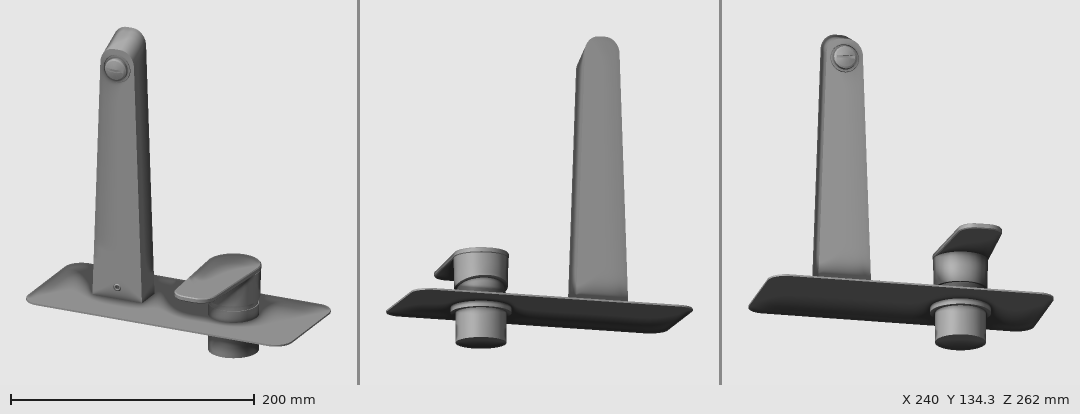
import cadquery as cq
import math


plate_length = 240.0
plate_width = 100.0
plate_thickness = 1.5
plate_corner_radius = 15.0

badge_length = 21.7
badge_width = 3.7
badge_y = -38.0
badge_thickness = plate_thickness / 2

spout_x = -50.0
spout_base_width = 45.0
spout_top_width = 28.8
spout_depth = 23.8
spout_height = 230.8
spout_top_slope = 25
spout_top_radius = 12.3
spout_front_y = -spout_depth / 2

screw_z = 10.0
screw_diameter = 6.8
screw_length = 7.9
screw_head_diameter = 5.0
socket_mouth_diameter = 4.2
socket_diameter = 3.5
socket_depth = 2.5

outlet_z = 202.7
ring_diameter = 27.8
ring_mouth_diameter = 24.0
ring_bore_diameter = 23.0
ring_depth = 7.9
ring_mouth_depth = 1.3
nozzle_diameter = 19.0
nozzle_protrusion = 3.1
rim_protrusion = 4.0
dome_diameter = 16.5
dome_protrusion = 5.5
slot_height = 2.4
slot_floor_protrusion = 4.2

mixer_x = 50.0
sleeve_diameter = 42
sleeve_bottom = -31.2
sleeve_top = 10.0
flange_diameter = 50.0
flange_bottom = -6.0
ball_radius = 20.2

lever_top = 44.3
handle_thickness = 4.5
handle_rear_radius = 22.8
handle_tip_width = 35.0
handle_tip_y = -84.3
handle_tip_radius = 14.0
handle_chamfer = 0.8
hub_bottom = 14.7
hub_bottom_radius = 22.0
hub_top_radius = 22.5
hub_rear_slope = 16
hub_top = lever_top - handle_thickness


def cylinder(x, diameter, bottom, top):
    """Upright cylinder on the line y = 0."""
    return cq.Workplane("XY", origin=(x, 0, bottom)).circle(diameter / 2).extrude(top - bottom)


def turned_along_y(profile, x, z):
    """Revolve (radius, distance out of the spout face) points about an axis parallel to Y."""
    outline = cq.Workplane("XY", origin=(x, spout_front_y, z)).polyline([(r, -out) for r, out in profile])
    return outline.close().revolve(360, (0, 0), (0, 1))


def face_recess(diameter, depth, z):
    """Round cutter reaching from the spout face inwards."""
    return cq.Workplane("XZ", origin=(spout_x, spout_front_y, z)).circle(diameter / 2).extrude(-depth)


def make_plate():
    plate = cq.Workplane("XY").rect(plate_length, plate_width).extrude(-plate_thickness)
    plate = plate.edges("|Z").fillet(plate_corner_radius)
    return plate.cut(make_badge()).cut(make_sleeve())


def make_badge():
    base = cq.Workplane("XY", origin=(0, badge_y, 0))
    return base.rect(badge_length, badge_width).extrude(-badge_thickness)


def make_spout():
    """Tapered column with a sloping top rounded off along both sides."""
    foot = spout_base_width / 2
    head = spout_top_width / 2
    column = (
        cq.Workplane("XZ", origin=(spout_x, -spout_front_y, 0))
        .polyline([(-foot, 0), (foot, 0), (head, spout_height), (-head, spout_height)])
        .close()
        .extrude(spout_depth)
    )
    drop = spout_depth * math.tan(math.radians(spout_top_slope))
    wedge = (
        cq.Workplane("YZ", origin=(spout_x, 0, 0))
        .polyline([
            (-spout_front_y, spout_height),
            (spout_front_y, spout_height),
            (spout_front_y, spout_height - drop),
        ])
        .close()
        .extrude(foot, both=True)
    )
    column = column.cut(wedge)
    sloping_top_sides = column.faces(">Z").edges("not |X")
    spout = column.newObject(sloping_top_sides.vals()).fillet(spout_top_radius)
    outlet_recess = face_recess(ring_diameter, ring_depth, outlet_z)
    screw_hole = face_recess(screw_diameter, screw_length, screw_z)
    return spout.cut(outlet_recess).cut(screw_hole)


def make_set_screw():
    """Headless screw with a bevelled end and a countersunk socket."""
    bevel = (screw_diameter - screw_head_diameter) / 2
    countersink = (socket_mouth_diameter - socket_diameter) / 2
    profile = [
        (0, -screw_length),
        (screw_diameter / 2, -screw_length),
        (screw_diameter / 2, -bevel),
        (screw_head_diameter / 2, 0),
        (socket_mouth_diameter / 2, 0),
        (socket_diameter / 2, -countersink),
        (socket_diameter / 2, -socket_depth),
        (0, -socket_depth),
    ]
    return turned_along_y(profile, spout_x, screw_z)


def make_trim_ring():
    """Ring flush with the spout face, opened out at its mouth."""
    profile = [
        (ring_bore_diameter / 2, -ring_depth),
        (ring_diameter / 2, -ring_depth),
        (ring_diameter / 2, 0),
        (ring_mouth_diameter / 2, 0),
        (ring_mouth_diameter / 2, -ring_mouth_depth),
        (ring_bore_diameter / 2, -ring_mouth_depth),
    ]
    return turned_along_y(profile, spout_x, outlet_z)


def make_aerator():
    """Stepped nozzle with a bevelled rim, a domed end and a screwdriver slot."""
    nozzle = turned_along_y(
        [
            (0, -ring_depth),
            (ring_bore_diameter / 2, -ring_depth),
            (ring_bore_diameter / 2, 0),
            (nozzle_diameter / 2, 0),
            (nozzle_diameter / 2, nozzle_protrusion),
            (dome_diameter / 2, rim_protrusion),
            (0, rim_protrusion),
        ],
        spout_x,
        outlet_z,
    )
    dome_rise = dome_protrusion - rim_protrusion
    dome_base_radius = dome_diameter / 2
    sphere_radius = (dome_base_radius ** 2 + dome_rise ** 2) / (2 * dome_rise)
    half_angle = math.asin(dome_base_radius / sphere_radius) / 2
    arc_middle = (
        sphere_radius * math.sin(half_angle),
        sphere_radius * (1 - math.cos(half_angle)) - dome_protrusion,
    )
    dome = (
        cq.Workplane("XY", origin=(spout_x, spout_front_y, outlet_z))
        .moveTo(0, -rim_protrusion)
        .lineTo(dome_base_radius, -rim_protrusion)
        .threePointArc(arc_middle, (0, -dome_protrusion))
        .close()
        .revolve(360, (0, 0), (0, 1))
    )
    slot = (
        cq.Workplane("XZ", origin=(spout_x, spout_front_y - slot_floor_protrusion, outlet_z))
        .rect(nozzle_diameter, slot_height)
        .extrude(dome_protrusion)
    )
    return nozzle.union(dome).cut(slot)


def make_sleeve():
    return cylinder(mixer_x, sleeve_diameter, sleeve_bottom, sleeve_top)


def make_flange():
    return cylinder(mixer_x, flange_diameter, flange_bottom, -plate_thickness).cut(make_sleeve())


def make_ball():
    """Half ball standing on the sleeve."""
    ball = cq.Workplane("XY").sphere(ball_radius, angle1=0, angle2=90)
    return ball.translate((mixer_x, 0, sleeve_top))


def make_hub():
    """Slightly conical round hub, its underside sloping up towards the rear."""
    hub = (
        cq.Workplane("XZ", origin=(mixer_x, 0, 0))
        .moveTo(0, hub_bottom)
        .lineTo(hub_bottom_radius, hub_bottom)
        .lineTo(hub_top_radius, hub_top)
        .lineTo(0, hub_top)
        .close()
        .revolve(360, (0, 0), (0, 1))
    )
    rear = 2 * hub_top_radius
    rear_cut = (
        cq.Workplane("YZ", origin=(mixer_x, 0, hub_bottom))
        .polyline([(0, 0), (rear, 0), (rear, rear * math.tan(math.radians(hub_rear_slope)))])
        .close()
        .extrude(rear, both=True)
    )
    return hub.cut(rear_cut)


def make_handle():
    """Flat handle, round at the rear and tapering to a tip with rounded corners."""
    tip = handle_tip_width / 2
    handle = (
        cq.Workplane("XY", origin=(mixer_x, 0, hub_top))
        .moveTo(handle_rear_radius, 0)
        .threePointArc((0, handle_rear_radius), (-handle_rear_radius, 0))
        .lineTo(-tip, handle_tip_y)
        .lineTo(tip, handle_tip_y)
        .close()
        .extrude(handle_thickness)
    )
    handle = handle.faces("<Y").edges("|Z").fillet(handle_tip_radius)
    return handle.faces(">Z or <Z").chamfer(handle_chamfer)


def make_lever():
    return make_hub().union(make_handle()).cut(make_ball())


bodies = [
    make_plate(),
    make_badge(),
    make_spout(),
    make_set_screw(),
    make_trim_ring(),
    make_aerator(),
    make_flange(),
    make_sleeve(),
    make_ball(),
    make_lever(),
]
result = cq.Compound.makeCompound([body.val() for body in bodies])